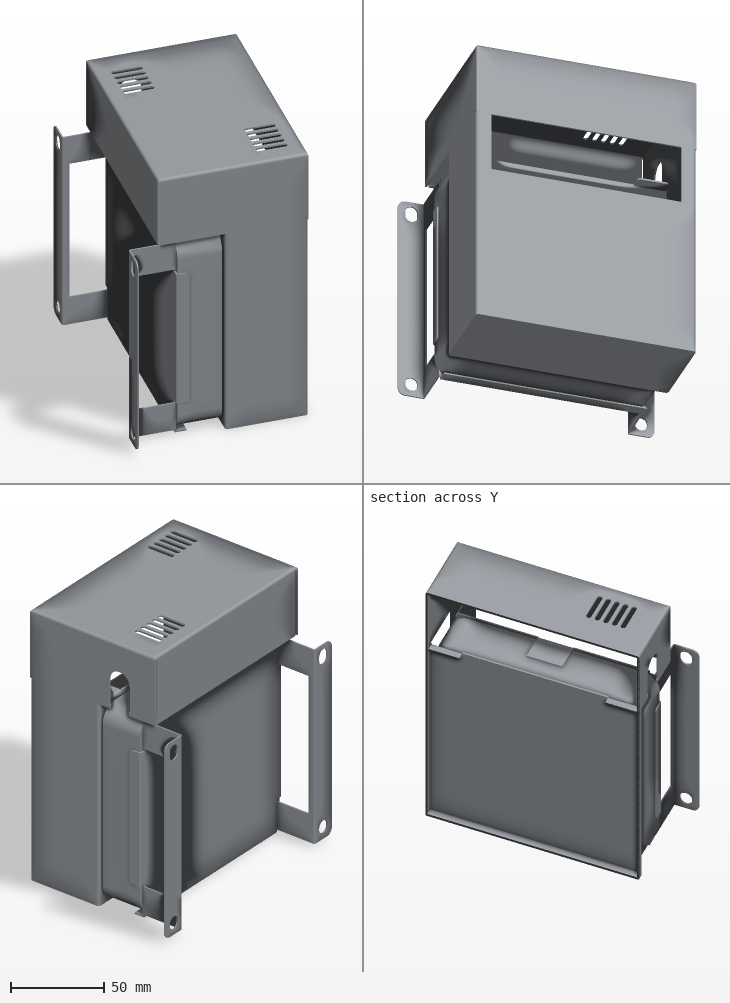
import cadquery as cq
SHEET = 1.0
BEND = 1.7

TOTAL_DEPTH = 99.7
TOTAL_HEIGHT = 167
CASE_WIDTH = 124.4
SEAM_Z = 125.0

COVER_DEPTH = 84.7
COVER_FRONT_Y = TOTAL_DEPTH - COVER_DEPTH
CORNER_SLIT = 1.0
VENT_COUNT = 5
VENT_PITCH = 5.0
VENT_WIDTH = 3.0
VENT_LENGTH = 17.7
VENT_GROUPS = [(-35.2, 32.5), (40.0, 82.8)]
CABLE_Y = 39.0
CABLE_WIDTH = 14.0
CABLE_HEIGHT = 24.7
CABLE_NECK_WIDTH = 12.7
CABLE_NECK_HEIGHT = 2.0

FRAME_DEPTH = 46.8
FRAME_FRONT_Y = TOTAL_DEPTH - FRAME_DEPTH
REAR_OPENING_WIDTH = 107.5
REAR_OPENING_BOTTOM_Z = 91.2
EAR_OUTER_X = CASE_WIDTH / 2 - BEND
EAR_WIDTH = 18.0
EAR_DEPTH = 8.7
EAR_CORNER = 2.0
EAR_ROOT = 2 * BEND

BRACKET_SHEET = 0.8
BRACKET_BEND = 1.0
PANEL_Y = 25.5
PANEL_BOTTOM_Z = 0.7
PANEL_TOP_Z = 124.5
RELIEF_WIDTH = 2.7
RELIEF_HEIGHT = 1.8
LEG_INNER_X = 57.5
LEG_OUTER_X = LEG_INNER_X + BRACKET_SHEET
LEG_HEIGHT = 119.9
LEG_BOTTOM_Z = 2.8
LEG_MID_Z = LEG_BOTTOM_Z + LEG_HEIGHT / 2
LEG_STRIP = 4.2
WINDOW_HEIGHT = 85.2
SIDE_TAB_HEIGHT = 82.5
SIDE_TAB_DEPTH = 7.3
SIDE_TAB_OUTER_X = 61.5
SIDE_TAB_CORNER = 2.0
TOP_TAB_WIDTH = 20.7
TOP_TAB_DEPTH = 15.9
TOP_TAB_ROOT = 2 * BRACKET_BEND
BOTTOM_TAB_DEPTH = 7.0
MOUNT_WIDTH = 145.0
MOUNT_CORNER = 4.0
HOLE_X = 65.0
HOLE_WIDTH = 7.0
LOWER_HOLE_Z = 10.2
LOWER_HOLE_HEIGHT = 7.8
UPPER_HOLE_Z = 115.4
UPPER_HOLE_HEIGHT = 9.2

CORE_WIDTH = 2 * (SIDE_TAB_OUTER_X - BRACKET_SHEET)
CORE_HEIGHT = 120.0
CORE_BOTTOM_Z = LEG_BOTTOM_Z
CORE_FRONT_Y = PANEL_Y + BRACKET_SHEET
CORE_BACK_Y = 51.6
CORE_CORNER = 10.0


def block(x_range, y_range, z_range):
    """Box between two limits along each axis."""
    size = [high - low for low, high in (x_range, y_range, z_range)]
    corner = (x_range[0], y_range[0], z_range[0])
    return cq.Workplane("XY").box(*size, centered=False).translate(corner)


def make_cover():
    """Open-bottomed box with bent top edges, vents and a cable opening."""
    half = CASE_WIDTH / 2
    outer = block((-half, half), (COVER_FRONT_Y, TOTAL_DEPTH), (SEAM_Z, TOTAL_HEIGHT))
    cover = outer.faces(">Z").edges().fillet(BEND)
    cavity = block(
        (-half + SHEET, half - SHEET),
        (COVER_FRONT_Y + SHEET, TOTAL_DEPTH - SHEET),
        (SEAM_Z, TOTAL_HEIGHT - SHEET),
    ).faces(">Z").edges().fillet(BEND - SHEET)
    cover = cover.cut(cavity)
    for low in (-half + SHEET, half - SHEET - CORNER_SLIT):
        slit = block(
            (low, low + CORNER_SLIT),
            (COVER_FRONT_Y, COVER_FRONT_Y + SHEET),
            (SEAM_Z, TOTAL_HEIGHT - BEND),
        )
        cover = cover.cut(slit)
    return cover.cut(make_vents()).cut(make_cable_opening())


def make_vents():
    """Cutters for both groups of parallel slots in the top."""
    first = -(VENT_COUNT - 1) / 2 * VENT_PITCH
    centres = [
        (group_x + first + index * VENT_PITCH, group_y)
        for group_x, group_y in VENT_GROUPS
        for index in range(VENT_COUNT)
    ]
    return (
        cq.Workplane("XY", origin=(0, 0, TOTAL_HEIGHT - SHEET))
        .pushPoints(centres)
        .slot2D(VENT_LENGTH, VENT_WIDTH, 90)
        .extrude(SHEET)
    )


def make_cable_opening():
    """Round-topped opening in the left wall, slightly narrowed at its mouth."""
    radius = CABLE_WIDTH / 2
    neck = CABLE_NECK_WIDTH / 2
    shoulder_z = SEAM_Z + CABLE_NECK_HEIGHT
    top_z = SEAM_Z + CABLE_HEIGHT
    return (
        cq.Workplane("YZ", origin=(-CASE_WIDTH / 2, 0, 0))
        .moveTo(CABLE_Y - neck, SEAM_Z)
        .lineTo(CABLE_Y - neck, shoulder_z)
        .lineTo(CABLE_Y - radius, shoulder_z)
        .lineTo(CABLE_Y - radius, top_z - radius)
        .threePointArc((CABLE_Y, top_z), (CABLE_Y + radius, top_z - radius))
        .lineTo(CABLE_Y + radius, shoulder_z)
        .lineTo(CABLE_Y + neck, shoulder_z)
        .lineTo(CABLE_Y + neck, SEAM_Z)
        .close()
        .extrude(SHEET)
    )


def make_rear_frame():
    """Open-topped box with a low opening in its rear wall and two ears on its front wall."""
    half = CASE_WIDTH / 2
    depth = (FRAME_FRONT_Y, TOTAL_DEPTH)
    height = (0, SEAM_Z)
    frame = block((-half, half), depth, height).edges("|Z").fillet(BEND)
    cavity = (
        block(
            (-half + SHEET, half - SHEET),
            (FRAME_FRONT_Y + SHEET, TOTAL_DEPTH - SHEET),
            (SHEET, SEAM_Z),
        )
        .edges("|Z")
        .fillet(BEND - SHEET)
    )
    rear_opening = block(
        (-REAR_OPENING_WIDTH / 2, REAR_OPENING_WIDTH / 2),
        (TOTAL_DEPTH - SHEET, TOTAL_DEPTH),
        (REAR_OPENING_BOTTOM_Z, SEAM_Z),
    )
    frame = frame.cut(cavity).cut(rear_opening)
    for side in (-1, 1):
        ear_x = sorted((side * EAR_OUTER_X, side * (EAR_OUTER_X - EAR_WIDTH)))
        notch = block(ear_x, (FRAME_FRONT_Y, FRAME_FRONT_Y + SHEET), (SEAM_Z - EAR_ROOT, SEAM_Z))
        frame = frame.cut(notch).union(make_ear(ear_x))
    return frame


def make_ear(ear_x):
    """Ear at the top of the front wall, folded back over a rounded bend."""
    ear_z = (SEAM_Z - EAR_ROOT, SEAM_Z)
    ear = (
        block(ear_x, (FRAME_FRONT_Y, FRAME_FRONT_Y + EAR_DEPTH), ear_z)
        .edges("|Z and >Y")
        .fillet(EAR_CORNER)
        .edges("|X and >Z and <Y")
        .fillet(BEND)
    )
    underside = block(
        ear_x,
        (FRAME_FRONT_Y + SHEET, FRAME_FRONT_Y + EAR_DEPTH),
        (SEAM_Z - EAR_ROOT, SEAM_Z - SHEET),
    )
    return ear.cut(underside)


def make_core():
    """Solid block with rounded corners, held between the bracket's side tabs."""
    return (
        block(
            (-CORE_WIDTH / 2, CORE_WIDTH / 2),
            (CORE_FRONT_Y, CORE_BACK_Y),
            (CORE_BOTTOM_Z, CORE_BOTTOM_Z + CORE_HEIGHT),
        )
        .edges("|Y")
        .fillet(CORE_CORNER)
    )


def make_panel():
    """Flat panel with a short tab folded back at its top and a long one along its bottom."""
    thickness = (PANEL_Y, PANEL_Y + BRACKET_SHEET)
    panel = block((-LEG_INNER_X, LEG_INNER_X), thickness, (PANEL_BOTTOM_Z, PANEL_TOP_Z))
    tab_x = (-TOP_TAB_WIDTH / 2, TOP_TAB_WIDTH / 2)
    tab_root_z = PANEL_TOP_Z - TOP_TAB_ROOT
    top_tab = (
        block(tab_x, (PANEL_Y, PANEL_Y + TOP_TAB_DEPTH), (tab_root_z, PANEL_TOP_Z))
        .edges("|X and >Z and <Y")
        .fillet(BRACKET_BEND)
    )
    tab_underside = block(
        tab_x,
        (PANEL_Y + BRACKET_SHEET, PANEL_Y + TOP_TAB_DEPTH),
        (tab_root_z, PANEL_TOP_Z - BRACKET_SHEET),
    )
    top_tab = top_tab.cut(tab_underside)
    tab_notch = block(tab_x, thickness, (tab_root_z, PANEL_TOP_Z))
    bottom_tab = block(
        (-LEG_INNER_X, LEG_INNER_X),
        (PANEL_Y, PANEL_Y + BOTTOM_TAB_DEPTH),
        (PANEL_BOTTOM_Z, PANEL_BOTTOM_Z + BRACKET_SHEET),
    )
    relief = block(
        (-LEG_INNER_X, -LEG_INNER_X + RELIEF_WIDTH),
        thickness,
        (PANEL_TOP_Z - RELIEF_HEIGHT, PANEL_TOP_Z),
    )
    panel = panel.union(bottom_tab).faces("<Y").edges("<Z").fillet(BRACKET_BEND)
    return panel.cut(tab_notch).union(top_tab).cut(relief)


def make_side():
    """Right-hand leg, mounting flange and side tab."""
    leg_z = (LEG_BOTTOM_Z, LEG_BOTTOM_Z + LEG_HEIGHT)
    leg = block((LEG_INNER_X, LEG_OUTER_X), (0, PANEL_Y + BRACKET_SHEET), leg_z)
    flange = (
        block((LEG_INNER_X, MOUNT_WIDTH / 2), (0, BRACKET_SHEET), leg_z)
        .edges("|Y and >X")
        .fillet(MOUNT_CORNER)
    )
    side = leg.union(flange).edges("|Z and <X and <Y").fillet(BRACKET_BEND)
    window = block(
        (LEG_INNER_X, LEG_OUTER_X),
        (LEG_STRIP, PANEL_Y + BRACKET_SHEET),
        (LEG_MID_Z - WINDOW_HEIGHT / 2, LEG_MID_Z + WINDOW_HEIGHT / 2),
    )
    side = side.cut(window)
    for hole_z, hole_height in (
        (LOWER_HOLE_Z, LOWER_HOLE_HEIGHT),
        (UPPER_HOLE_Z, UPPER_HOLE_HEIGHT),
    ):
        hole = (
            cq.Workplane("XZ", origin=(HOLE_X, 0, hole_z))
            .slot2D(hole_height, HOLE_WIDTH, 90)
            .extrude(-BRACKET_SHEET)
        )
        side = side.cut(hole)
    return side.union(make_side_tab())


def make_side_tab():
    """Extension of the panel past the leg, folded back beside the core."""
    tab_z = (LEG_MID_Z - SIDE_TAB_HEIGHT / 2, LEG_MID_Z + SIDE_TAB_HEIGHT / 2)
    web = block((LEG_INNER_X, SIDE_TAB_OUTER_X), (PANEL_Y, PANEL_Y + BRACKET_SHEET), tab_z)
    tab = (
        block(
            (SIDE_TAB_OUTER_X - BRACKET_SHEET, SIDE_TAB_OUTER_X),
            (PANEL_Y, PANEL_Y + SIDE_TAB_DEPTH),
            tab_z,
        )
        .edges("|X and >Y")
        .fillet(SIDE_TAB_CORNER)
    )
    return web.union(tab).edges("|Z and >X and <Y").fillet(BRACKET_BEND)


def make_bracket():
    """Panel with a mirrored leg, flange and tab on each side."""
    right = make_side()
    left = right.mirror("YZ")
    return make_panel().union(right).union(left)


cover = make_cover()
rear_frame = make_rear_frame()
core = make_core()
bracket = make_bracket()

result = cq.Compound.makeCompound(
    [cover.val(), rear_frame.val(), core.val(), bracket.val()]
)